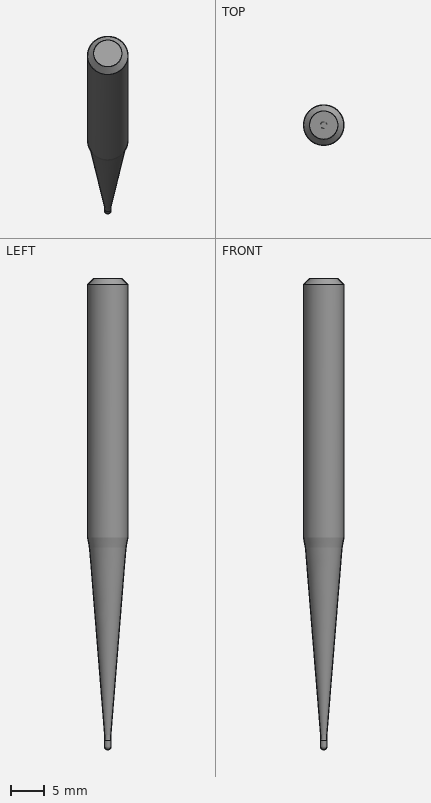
import cadquery as cq

TOTAL_LENGTH = 70.0
SHANK_RADIUS = 3.0
END_CHAMFER = 0.9

SHANK_BOTTOM = 31.5
TAPER_TOP = 30.0
NECK_TOP = 2.2
NECK_BOTTOM = 1.6
CUTTER_TOP = 1.4

TAPER_TOP_RADIUS = 2.7
NECK_RADIUS = 0.475
BALL_RADIUS = 0.5


def make_holder():
    """Chamfered shank, transition cone, long taper and slim neck, turned as one body."""
    profile = (
        cq.Workplane("XZ")
        .moveTo(0, CUTTER_TOP)
        .lineTo(BALL_RADIUS, CUTTER_TOP)
        .lineTo(NECK_RADIUS, NECK_BOTTOM)
        .lineTo(NECK_RADIUS, NECK_TOP)
        .lineTo(TAPER_TOP_RADIUS, TAPER_TOP)
        .lineTo(SHANK_RADIUS, SHANK_BOTTOM)
        .lineTo(SHANK_RADIUS, TOTAL_LENGTH - END_CHAMFER)
        .lineTo(SHANK_RADIUS - END_CHAMFER, TOTAL_LENGTH)
        .lineTo(0, TOTAL_LENGTH)
        .close()
    )
    return profile.revolve(360, (0, 0, 0), (0, 1, 0))


def make_cutter():
    """Short cylinder with a hemispherical nose, seated under the neck."""
    nose_mid = BALL_RADIUS * 0.5 ** 0.5
    profile = (
        cq.Workplane("XZ")
        .moveTo(0, 0)
        .threePointArc((nose_mid, BALL_RADIUS - nose_mid), (BALL_RADIUS, BALL_RADIUS))
        .lineTo(BALL_RADIUS, CUTTER_TOP)
        .lineTo(0, CUTTER_TOP)
        .close()
    )
    return profile.revolve(360, (0, 0, 0), (0, 1, 0))


holder = make_holder()
cutter = make_cutter()

result = cq.Compound.makeCompound([holder.val(), cutter.val()])